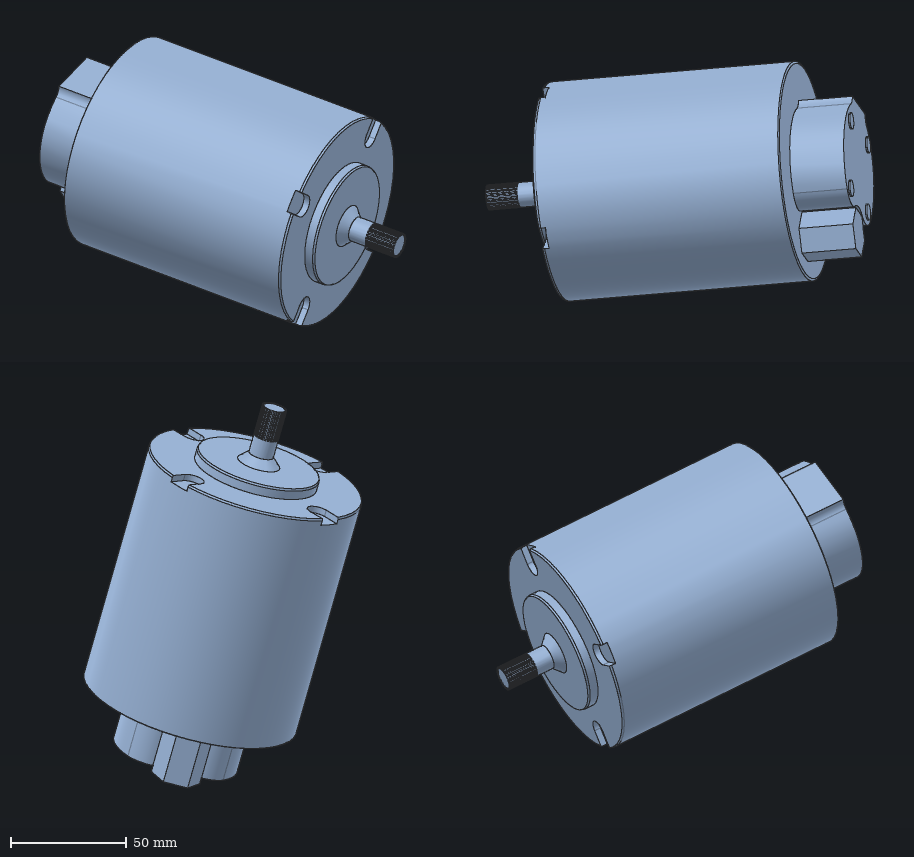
import cadquery as cq
import math

housing_rear_x = 0.7
body_rear_x = 24.8
body_front_x = 134.9
flange_front_x = 139.9
cone_front_x = 143.8
spline_rear_x = 152.3
shaft_end_x = 166.3

body_diameter = 96.0
body_chamfer_length = 0.5
body_chamfer_height = 1.0
front_chamfer_length = 1.0
front_chamfer_height = 0.3
flange_diameter = 55.0
cone_base_diameter = 19.0
shaft_diameter = 11.0

spline_teeth = 24
spline_depth = 0.7

housing_radius = 28.0
housing_top_z = 28.5
top_half_width = 11.8
top_fillet_radius = 5.0
lobe_radius = 12.0
screw_head_diameter = 7.2
screw_spacing = 31.1

hex_across_flats = 19.0
hex_centre_z = -30.5
hex_relief_radius = 11.6

slot_width = 10.0
slot_depth_along_x = 3.0
slot_centre_radius = 39.9
slot_count = 4


def section_at(x):
    """Sketch plane across the axis at x, with local axes along +Y and +Z."""
    return cq.Workplane("YZ", origin=(x, 0, 0))


def make_turned_core():
    """Body, front flange, cone and plain shaft as one revolved profile."""
    body_radius = body_diameter / 2
    flange_radius = flange_diameter / 2
    shaft_radius = shaft_diameter / 2
    profile = [
        (body_rear_x, 0),
        (body_rear_x, body_radius - body_chamfer_height),
        (body_rear_x + body_chamfer_length, body_radius),
        (body_front_x - front_chamfer_length, body_radius),
        (body_front_x, body_radius - front_chamfer_height),
        (body_front_x, flange_radius),
        (flange_front_x - front_chamfer_length, flange_radius),
        (flange_front_x, flange_radius - front_chamfer_height),
        (flange_front_x, cone_base_diameter / 2),
        (cone_front_x, shaft_radius),
        (shaft_end_x, shaft_radius),
        (shaft_end_x, 0),
    ]
    return cq.Workplane("XY").polyline(profile).close().revolve(360, (0, 0, 0), (1, 0, 0))


def make_spline_grooves():
    """Grooves as wide as the teeth, cut along the shaft end."""
    shaft_radius = shaft_diameter / 2
    groove_width = math.pi * shaft_diameter / (2 * spline_teeth)
    pitch = 360 / spline_teeth
    grooves = cq.Workplane("XY")
    groove = (
        section_at(spline_rear_x)
        .center(shaft_radius, 0)
        .rect(2 * spline_depth, groove_width)
        .extrude(shaft_end_x - spline_rear_x)
    )
    for index in range(spline_teeth):
        grooves.add(groove.rotate((0, 0, 0), (1, 0, 0), (index + 0.5) * pitch))
    return grooves.combine()


def make_slots():
    """Radial U-slots, open to the front face and to the outside of the body."""
    body_radius = body_diameter / 2
    floor_x = body_front_x - slot_depth_along_x
    straight_length = body_radius - slot_centre_radius
    slot = (
        section_at(floor_x)
        .center(slot_centre_radius + straight_length, 0)
        .slot2D(2 * straight_length + slot_width, slot_width)
        .extrude(slot_depth_along_x)
    )
    slots = cq.Workplane("XY")
    for index in range(slot_count):
        slots.add(slot.rotate((0, 0, 0), (1, 0, 0), (index + 0.5) * 360 / slot_count))
    return slots.combine()


def polar_point(centre, radius, direction):
    """Point at the given radius from the centre, along a direction of any length."""
    length = math.hypot(*direction)
    return (centre[0] + radius * direction[0] / length, centre[1] + radius * direction[1] / length)


def mirrored(point):
    """Same point on the opposite side of the XZ symmetry plane."""
    return (-point[0], point[1])


def make_housing():
    """Round housing with a raised flat top, two lower lobes and a relief around the gland."""
    fillet_centre = (top_half_width + top_fillet_radius, housing_top_z)
    fillet_end = polar_point((0, 0), housing_radius, fillet_centre)
    fillet_end_angle = math.atan2(fillet_end[1] - fillet_centre[1], fillet_end[0] - fillet_centre[0])
    fillet_mid_angle = (fillet_end_angle % (2 * math.pi) + math.pi) / 2
    fillet_mid = polar_point(
        fillet_centre, top_fillet_radius, (math.cos(fillet_mid_angle), math.sin(fillet_mid_angle))
    )

    to_axis = housing_radius - lobe_radius
    to_gland = hex_relief_radius + lobe_radius
    lobe_z = (to_gland**2 - to_axis**2 - hex_centre_z**2) / (-2 * hex_centre_z)
    lobe_centre = (math.sqrt(to_axis**2 - lobe_z**2), lobe_z)
    gland_centre = (0, hex_centre_z)
    lobe_start = polar_point((0, 0), housing_radius, lobe_centre)
    lobe_bottom = polar_point(lobe_centre, lobe_radius, (0, -1))
    lobe_end = polar_point(
        gland_centre, hex_relief_radius, (lobe_centre[0], lobe_centre[1] - hex_centre_z)
    )
    relief_top = (0, hex_centre_z + hex_relief_radius)

    top_corner = (top_half_width, housing_top_z)
    side = (housing_radius, 0)
    return (
        section_at(housing_rear_x)
        .moveTo(*mirrored(top_corner))
        .lineTo(*top_corner)
        .threePointArc(fillet_mid, fillet_end)
        .threePointArc(side, lobe_start)
        .threePointArc(lobe_bottom, lobe_end)
        .threePointArc(relief_top, mirrored(lobe_end))
        .threePointArc(mirrored(lobe_bottom), mirrored(lobe_start))
        .threePointArc(mirrored(side), mirrored(fillet_end))
        .threePointArc(mirrored(fillet_mid), mirrored(top_corner))
        .close()
        .extrude(body_rear_x - housing_rear_x)
    )


def make_screw_heads():
    """Four flat heads in a square on the rear of the housing."""
    return (
        section_at(0)
        .rect(screw_spacing, screw_spacing, forConstruction=True)
        .vertices()
        .circle(screw_head_diameter / 2)
        .extrude(housing_rear_x)
    )


def make_gland():
    """Hexagonal prism between the body and the rear plane of the housing."""
    across_corners = hex_across_flats / math.cos(math.pi / 6)
    return (
        section_at(housing_rear_x)
        .center(0, hex_centre_z)
        .polygon(6, across_corners)
        .extrude(body_rear_x - housing_rear_x)
    )


result = (
    make_turned_core()
    .cut(make_slots())
    .cut(make_spline_grooves())
    .union(make_housing())
    .union(make_screw_heads())
    .union(make_gland())
)